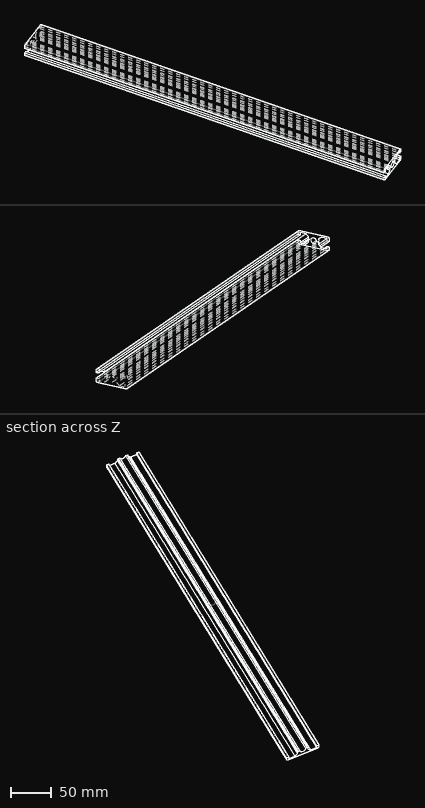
import cadquery as cq

length = 500.0
width = 45.0
height = 18.5
corner_radius = 2.5

mouth_height = 7.5
lip_thickness = 3.5
flange_thickness = 2.25
web_width = 14.5
slot_corner_chamfer = 3.5

groove_height = 2.0
groove_depth = groove_height / 2

bore_diameter = 7.5


def extrude_slot(side):
    """T-shaped slot, open on the +Y (side = 1) or -Y (side = -1) face."""
    edge = width / 2
    lip = edge - lip_thickness
    floor = web_width / 2
    chamber = height / 2 - flange_thickness
    mouth = mouth_height / 2
    upper = [
        (edge, mouth),
        (lip, mouth),
        (lip, chamber),
        (floor + slot_corner_chamfer, chamber),
        (floor, chamber - slot_corner_chamfer),
        (floor, groove_height / 2),
    ]
    groove_bottom = (floor - groove_depth, 0)
    lower = [(y, -z) for y, z in reversed(upper)]
    outline = [(side * y, z) for y, z in upper + [groove_bottom] + lower]
    return cq.Workplane("YZ").polyline(outline).close().extrude(length / 2, both=True)


result = cq.Workplane("XY").box(length, width, height).edges("|X").fillet(corner_radius)

for side in (-1, 1):
    result = result.cut(extrude_slot(side))

bore = cq.Workplane("YZ").circle(bore_diameter / 2).extrude(length / 2, both=True)
result = result.cut(bore)